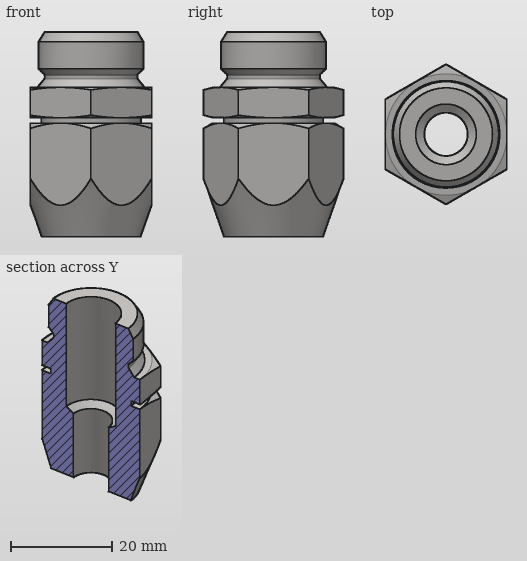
import cadquery as cq
import math

TOTAL_HEIGHT = 40.5
ACROSS_FLATS = 24.0
ACROSS_CORNERS = ACROSS_FLATS / math.cos(math.radians(30))

NUT_TOP = 22.48
NUT_BOTTOM_DIAMETER = 19.6
NUT_TAPER_ANGLE = 19.5
NUT_CHAMFER_ANGLE = 30.0

COLLAR_DIAMETER = 19.75
HEX_BOTTOM = 23.55
HEX_TOP = 29.52
HEX_CHAMFER_ANGLE = 15.0
SHOULDER_DIAMETER = 21.25
NECK_DIAMETER = 18.4
NECK_BOTTOM = 31.25
NECK_TOP = 32.05
NECK_FILLET = 0.3
THREAD_DIAMETER = 20.8
THREAD_BOTTOM = 33.2
THREAD_TOP = 38.5
TIP_DIAMETER = 18.4

BORE_DIAMETER = 8.5
COUNTERBORE_DIAMETER = 12.0
COUNTERBORE_DEPTH = 24.3
FLOOR_HALF_ANGLE = 59.0


def revolve_profile(points):
    """Revolve (radius, height) points about the Z axis."""
    return cq.Workplane("XZ").polyline(points).close().revolve(360, (0, 0), (0, 1))


def hexagon(bottom, top):
    """Hexagonal prism with flats facing -X and +X."""
    return (
        cq.Workplane("XY", origin=(0, 0, bottom))
        .polygon(6, ACROSS_CORNERS)
        .extrude(top - bottom)
        .rotate((0, 0, 0), (0, 0, 1), 30)
    )


flat_radius = ACROSS_FLATS / 2
corner_radius = ACROSS_CORNERS / 2


def chamfer_drop(angle):
    """Height lost at the hexagon corners for a chamfer at the given angle from the end face."""
    return (corner_radius - flat_radius) * math.tan(math.radians(angle))


def make_nut():
    """Hexagonal nut, tapered below and chamfered at its top corners."""
    bottom_radius = NUT_BOTTOM_DIAMETER / 2
    taper_top = (corner_radius - bottom_radius) / math.tan(math.radians(NUT_TAPER_ANGLE))
    envelope = revolve_profile([
        (0, 0),
        (bottom_radius, 0),
        (corner_radius, taper_top),
        (corner_radius, NUT_TOP - chamfer_drop(NUT_CHAMFER_ANGLE)),
        (flat_radius, NUT_TOP),
        (0, NUT_TOP),
    ])
    return hexagon(0, NUT_TOP).intersect(envelope)


def make_body_hexagon():
    """Thin hexagon with both ends chamfered at the corners."""
    drop = chamfer_drop(HEX_CHAMFER_ANGLE)
    envelope = revolve_profile([
        (0, HEX_BOTTOM),
        (flat_radius, HEX_BOTTOM),
        (corner_radius, HEX_BOTTOM + drop),
        (corner_radius, HEX_TOP - drop),
        (flat_radius, HEX_TOP),
        (0, HEX_TOP),
    ])
    return hexagon(HEX_BOTTOM, HEX_TOP).intersect(envelope)


def make_collar():
    """Round collar joining the nut to the body hexagon."""
    height = HEX_BOTTOM - NUT_TOP
    return cq.Workplane("XY", origin=(0, 0, NUT_TOP)).circle(COLLAR_DIAMETER / 2).extrude(height)


def make_spigot():
    """Conical shoulder, filleted undercut neck and plain thread cylinder."""
    spigot = revolve_profile([
        (0, HEX_TOP),
        (SHOULDER_DIAMETER / 2, HEX_TOP),
        (NECK_DIAMETER / 2, NECK_BOTTOM),
        (NECK_DIAMETER / 2, NECK_TOP),
        (THREAD_DIAMETER / 2, THREAD_BOTTOM),
        (THREAD_DIAMETER / 2, THREAD_TOP),
        (TIP_DIAMETER / 2, TOTAL_HEIGHT),
        (0, TOTAL_HEIGHT),
    ])
    neck_length = NECK_TOP - NECK_BOTTOM
    neck_zone = cq.selectors.BoxSelector(
        (-THREAD_DIAMETER, -THREAD_DIAMETER, NECK_BOTTOM - neck_length / 2),
        (THREAD_DIAMETER, THREAD_DIAMETER, NECK_TOP + neck_length / 2),
    )
    return spigot.edges(neck_zone).edges("%CIRCLE").fillet(NECK_FILLET)


def make_bore():
    """Through bore with a deep counterbore ending in a conical floor."""
    bore_radius = BORE_DIAMETER / 2
    counterbore_radius = COUNTERBORE_DIAMETER / 2
    floor_top = TOTAL_HEIGHT - COUNTERBORE_DEPTH
    floor_height = (counterbore_radius - bore_radius) / math.tan(math.radians(FLOOR_HALF_ANGLE))
    return revolve_profile([
        (0, 0),
        (bore_radius, 0),
        (bore_radius, floor_top - floor_height),
        (counterbore_radius, floor_top),
        (counterbore_radius, TOTAL_HEIGHT),
        (0, TOTAL_HEIGHT),
    ])


result = (
    make_nut()
    .union(make_collar())
    .union(make_body_hexagon())
    .union(make_spigot())
    .cut(make_bore())
)